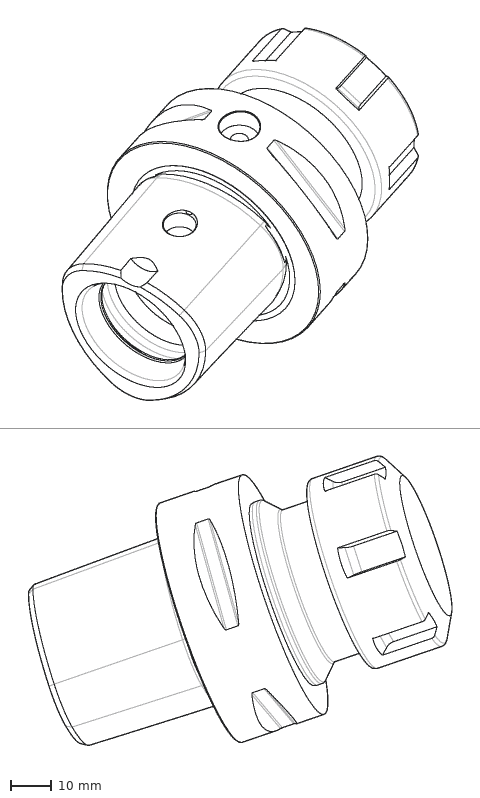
import cadquery as cq
import math


FLANGE_RADIUS = 31.51
FLANGE_LENGTH = 22.1
FLANGE_CHAMFER = 0.3

COLLAR_RADIUS = 24.1
COLLAR_ROOT_RADIUS = 23.9
COLLAR_ROOT_LENGTH = 0.9
COLLAR_SHOULDER = 24.5
NECK_RADIUS = 20.0
CONE_FILLET = 0.9

NUT_RADIUS = 25.0
NUT_BACK = 37.4
NUT_FRONT = 60.1
NUT_FACE_RADIUS = 18.4
NUT_CONE_ANGLE = 30
NUT_FRONT_FILLET = 1.1
NUT_BACK_FILLET = 1.2
SOCKET_DEPTH = 11.8

SLOT_COUNT = 6
SLOT_FLOOR_RADIUS = 22.2
SLOT_FLOOR_WIDTH = 6.8
SLOT_MOUTH_WIDTH = 7.9
SLOT_FLOOR_END = 46.2
SLOT_RAMP_START = 44.1
SLOT_RAMP_RISE = 0.9
SLOT_MOUTH_END = 42.2

SHANK_END = -37.9
SHANK_START = -2.1
LOBE_CENTER = 9.9
LOBE_RADIUS = 13.475
SHANK_TAPER = 1.43
SHANK_CHAMFER_LENGTH = 1.6
SHANK_CHAMFER_ANGLE = 31
SHANK_RELIEF = 0.4

FACE_GROOVE_INNER = 22.6
FACE_GROOVE_OUTER = 24.2
FACE_GROOVE_CENTER = -0.5

BORE_MOUTH_RADIUS = 16.3
BORE_ENTRY_RADIUS = 15.3
BORE_ENTRY_DEPTH = 1.5
BORE_CONE_RADIUS = 13.7
BORE_CONE_DEPTH = 6.8
BORE_LIP_RADIUS = 13.4
BORE_LIP_START = 7.2
BORE_LIP_END = 7.6
BORE_GROOVE_RADIUS = 15.9
BORE_GROOVE_START = 9.3
BORE_GROOVE_END = 11.3
BORE_SHOULDER_RADIUS = 15.3
BORE_SHOULDER_START = 13.0
BORE_SHOULDER_END = 14.3
BORE_RADIUS = 13.9
BORE_DEPTH = 19.9
PILOT_RADIUS = 10.2
PILOT_FLOOR_RADIUS = 8.87
PILOT_LENGTH = 5.9

GRIP_COUNT = 4
GRIP_FLOOR_DISTANCE = 27.8
GRIP_FLOOR_WIDTH = 3.6
GRIP_WALL_ANGLE = 30
GRIP_CENTER = 12.1
GRIP_FILLET = 0.5

DATA_HOLE_RADIUS = 5.1
DATA_HOLE_FLOOR = 26.5
CENTER_MARK_RADIUS = 2.3
SHANK_HOLE_CENTER = -15.4
SHANK_HOLE_RADIUS = 4.07
SHANK_HOLE_MOUTH = 20.2
SHANK_HOLE_DEPTH = 5.2
DRILL_POINT_ANGLE = 59
SHANK_HOLE_CHAMFER = 0.3
DATA_HOLE_CHAMFER = 0.2

KEYWAY_RADIUS = 5.6
KEYWAY_FLOOR = 18.0
KEYWAY_SHOULDER = -31.7

Y_AXIS = ((0, 0, 0), (0, 1, 0))


def revolve_y(profile):
    """Turn a closed profile, drawn as (radius, Y), about the tool axis."""
    return profile.close().revolve(360, *Y_AXIS)


def around_y(cutter, count, first_angle):
    """Return evenly spaced copies of a cutter around the tool axis."""
    angles = [first_angle + i * 360 / count for i in range(count)]
    return [cutter.rotate(*Y_AXIS, angle) for angle in angles]


def make_turned_body():
    collar_start = FLANGE_LENGTH + COLLAR_ROOT_LENGTH
    neck_start = COLLAR_SHOULDER + COLLAR_RADIUS - NECK_RADIUS
    profile = (
        cq.Workplane("XY")
        .polyline([
            (0, 0),
            (FLANGE_RADIUS - FLANGE_CHAMFER, 0),
            (FLANGE_RADIUS, FLANGE_CHAMFER),
            (FLANGE_RADIUS, FLANGE_LENGTH),
            (COLLAR_ROOT_RADIUS, FLANGE_LENGTH),
            (COLLAR_RADIUS, collar_start),
            (COLLAR_RADIUS, COLLAR_SHOULDER),
            (NECK_RADIUS, neck_start),
            (NECK_RADIUS, NUT_BACK + SOCKET_DEPTH),
            (0, NUT_BACK + SOCKET_DEPTH),
        ])
    )
    body = revolve_y(profile)
    cone_edges = cq.selectors.BoxSelector(
        (-FLANGE_RADIUS, COLLAR_SHOULDER - 0.1, -FLANGE_RADIUS),
        (FLANGE_RADIUS, neck_start + 0.1, FLANGE_RADIUS),
        boundingbox=True,
    )
    return body.edges(cone_edges).edges("%CIRCLE").fillet(CONE_FILLET)


def polygon_outline(y, lobe_radius):
    """Rounded triangle in the plane at y: three lobe arcs joined by three flank arcs.

    Each flank arc is centred on the lobe opposite to it, which makes all joints tangent.
    """
    flank_radius = lobe_radius + LOBE_CENTER * math.sqrt(3)
    lobe_tip = LOBE_CENTER + lobe_radius
    flank_middle = flank_radius - LOBE_CENTER

    def joint(lobe_angle, side):
        normal = math.radians(lobe_angle + side * 30)
        lobe = math.radians(lobe_angle)
        return (
            LOBE_CENTER * math.cos(lobe) + lobe_radius * math.cos(normal),
            LOBE_CENTER * math.sin(lobe) + lobe_radius * math.sin(normal),
        )

    def polar(radius, angle):
        return (radius * math.cos(math.radians(angle)), radius * math.sin(math.radians(angle)))

    first_lobe = -90
    outline = cq.Workplane("XZ", origin=(0, y, 0)).moveTo(*joint(first_lobe, -1))
    for lobe_angle in (first_lobe, first_lobe + 120, first_lobe + 240):
        outline = outline.threePointArc(polar(lobe_tip, lobe_angle), joint(lobe_angle, 1))
        flank_point = polar(flank_middle, lobe_angle + 60)
        outline = outline.threePointArc(flank_point, joint(lobe_angle + 120, -1))
    return outline.close()


def make_shank():
    relief_length = -SHANK_START
    relief_angle = math.degrees(math.atan(SHANK_RELIEF / relief_length))
    relief = polygon_outline(0, LOBE_RADIUS - SHANK_RELIEF).extrude(relief_length, taper=-relief_angle)

    chamfer_start = SHANK_END + SHANK_CHAMFER_LENGTH
    taper_length = SHANK_START - chamfer_start
    taper = polygon_outline(SHANK_START, LOBE_RADIUS).extrude(taper_length, taper=SHANK_TAPER)

    small_radius = LOBE_RADIUS - taper_length * math.tan(math.radians(SHANK_TAPER))
    end_chamfer = polygon_outline(chamfer_start, small_radius).extrude(
        SHANK_CHAMFER_LENGTH, taper=SHANK_CHAMFER_ANGLE
    )
    return relief.union(taper).union(end_chamfer)


def make_face_groove():
    middle = (FACE_GROOVE_INNER + FACE_GROOVE_OUTER) / 2
    section_radius = math.hypot(FACE_GROOVE_OUTER - middle, FACE_GROOVE_CENTER)
    section = cq.Workplane("XY", origin=(middle, FACE_GROOVE_CENTER, 0)).circle(section_radius)
    return section.revolve(360, (-middle, 0, 0), (-middle, 1, 0))


def make_bore():
    pilot_end = BORE_DEPTH + PILOT_LENGTH
    profile = (
        cq.Workplane("XY", origin=(0, SHANK_END, 0))
        .lineTo(BORE_MOUTH_RADIUS, 0)
        .lineTo(BORE_ENTRY_RADIUS, BORE_ENTRY_DEPTH)
        .lineTo(BORE_CONE_RADIUS, BORE_CONE_DEPTH)
        .lineTo(BORE_LIP_RADIUS, BORE_LIP_START)
        .lineTo(BORE_LIP_RADIUS, BORE_LIP_END)
        .lineTo(BORE_GROOVE_RADIUS, BORE_GROOVE_START)
        .lineTo(BORE_GROOVE_RADIUS, BORE_GROOVE_END)
        .tangentArcPoint((BORE_SHOULDER_RADIUS, BORE_SHOULDER_START), relative=False)
        .lineTo(BORE_RADIUS, BORE_SHOULDER_END)
        .lineTo(BORE_RADIUS, BORE_DEPTH)
        .lineTo(PILOT_RADIUS, BORE_DEPTH)
        .lineTo(PILOT_FLOOR_RADIUS, pilot_end)
        .lineTo(0, pilot_end)
    )
    return profile.close().revolve(360, (0, 0, 0), (0, 1, 0))


def make_grip_grooves():
    half_floor = GRIP_FLOOR_WIDTH / 2
    depth = FLANGE_RADIUS - GRIP_FLOOR_DISTANCE
    half_mouth = half_floor + depth * math.tan(math.radians(GRIP_WALL_ANGLE))
    cutter = (
        cq.Workplane("XY")
        .polyline([
            (GRIP_FLOOR_DISTANCE, GRIP_CENTER - half_floor),
            (FLANGE_RADIUS, GRIP_CENTER - half_mouth),
            (FLANGE_RADIUS, GRIP_CENTER + half_mouth),
            (GRIP_FLOOR_DISTANCE, GRIP_CENTER + half_floor),
        ])
        .close()
        .extrude(FLANGE_RADIUS, both=True)
        .faces("<X")
        .edges("|Z")
        .fillet(GRIP_FILLET)
    )
    return around_y(cutter, GRIP_COUNT, 180 / GRIP_COUNT)


def make_radial_hole(y, profile):
    """Turn a closed (radius, Z) profile about the vertical line at the given y."""
    return (
        cq.Workplane("XZ", origin=(0, y, 0))
        .polyline(profile)
        .close()
        .revolve(360, (0, 0, 0), (0, 1, 0))
    )


def make_data_hole():
    point_depth = CENTER_MARK_RADIUS / math.tan(math.radians(DRILL_POINT_ANGLE))
    return make_radial_hole(GRIP_CENTER, [
        (0, DATA_HOLE_FLOOR - point_depth),
        (CENTER_MARK_RADIUS, DATA_HOLE_FLOOR),
        (DATA_HOLE_RADIUS, DATA_HOLE_FLOOR),
        (DATA_HOLE_RADIUS, FLANGE_RADIUS),
        (0, FLANGE_RADIUS),
    ])


def data_hole_rim():
    """Select the saddle-shaped edge where the hole meets the flange."""
    reach = DATA_HOLE_RADIUS + 0.1
    return cq.selectors.BoxSelector(
        (-reach, GRIP_CENTER - reach, DATA_HOLE_FLOOR + 1),
        (reach, GRIP_CENTER + reach, FLANGE_RADIUS + 1),
        boundingbox=True,
    )


def make_shank_hole():
    floor = SHANK_HOLE_MOUTH - SHANK_HOLE_DEPTH
    point_depth = SHANK_HOLE_RADIUS / math.tan(math.radians(DRILL_POINT_ANGLE))
    chamfer_start = SHANK_HOLE_MOUTH - SHANK_HOLE_CHAMFER
    flare = 2 * SHANK_HOLE_CHAMFER
    return make_radial_hole(SHANK_HOLE_CENTER, [
        (0, floor - point_depth),
        (SHANK_HOLE_RADIUS, floor),
        (SHANK_HOLE_RADIUS, chamfer_start),
        (SHANK_HOLE_RADIUS + flare, chamfer_start + flare),
        (0, chamfer_start + flare),
    ])


def make_keyway():
    """Round keyway along Y that ends in a 45 degree cone."""
    cutter = revolve_y(
        cq.Workplane("XY").polyline([
            (0, SHANK_END),
            (KEYWAY_RADIUS, SHANK_END),
            (KEYWAY_RADIUS, KEYWAY_SHOULDER),
            (0, KEYWAY_SHOULDER + KEYWAY_RADIUS),
        ])
    )
    return cutter.translate((0, 0, KEYWAY_FLOOR + KEYWAY_RADIUS))


def make_holder():
    holder = make_turned_body().union(make_shank())
    holder = holder.cut(make_data_hole())
    holder = holder.edges(data_hole_rim()).chamfer(DATA_HOLE_CHAMFER)
    cutters = [make_face_groove(), make_bore(), make_shank_hole(), make_keyway()]
    for cutter in cutters + make_grip_grooves():
        holder = holder.cut(cutter)
    return holder


def make_nut_slots():
    """Slots whose side walls lean outwards, open at the front of the nut."""
    half_floor = SLOT_FLOOR_WIDTH / 2
    half_mouth = SLOT_MOUTH_WIDTH / 2
    mouth_radius = math.sqrt(NUT_RADIUS**2 - half_mouth**2)
    rise = NUT_RADIUS - SLOT_FLOOR_RADIUS
    flare = (half_mouth - half_floor) * rise / (mouth_radius - SLOT_FLOOR_RADIUS)

    cross_section = (
        cq.Workplane("XZ", origin=(0, NUT_FRONT, 0))
        .polyline([
            (SLOT_FLOOR_RADIUS, -half_floor),
            (NUT_RADIUS, -half_floor - flare),
            (NUT_RADIUS, half_floor + flare),
            (SLOT_FLOOR_RADIUS, half_floor),
        ])
        .close()
        .extrude(NUT_FRONT - NUT_BACK)
    )

    ramp_angle = 2 * math.atan(SLOT_RAMP_RISE / (SLOT_FLOOR_END - SLOT_RAMP_START))
    ramp_radius = SLOT_RAMP_RISE / (1 - math.cos(ramp_angle))
    ramp_middle = (
        SLOT_FLOOR_RADIUS + ramp_radius * (1 - math.cos(ramp_angle / 2)),
        SLOT_FLOOR_END - ramp_radius * math.sin(ramp_angle / 2),
    )
    length_section = (
        cq.Workplane("XY")
        .moveTo(SLOT_FLOOR_RADIUS, NUT_FRONT)
        .lineTo(SLOT_FLOOR_RADIUS, SLOT_FLOOR_END)
        .threePointArc(ramp_middle, (SLOT_FLOOR_RADIUS + SLOT_RAMP_RISE, SLOT_RAMP_START))
        .lineTo(NUT_RADIUS, SLOT_MOUTH_END)
        .lineTo(NUT_RADIUS, NUT_FRONT)
        .close()
        .extrude(SLOT_MOUTH_WIDTH, both=True)
    )
    return around_y(cross_section.intersect(length_section), SLOT_COUNT, 0)


def make_nut():
    cone_length = (NUT_RADIUS - NUT_FACE_RADIUS) * math.tan(math.radians(NUT_CONE_ANGLE))
    cone_start = NUT_FRONT - cone_length
    nut = revolve_y(
        cq.Workplane("XY").polyline([
            (0, NUT_BACK),
            (NUT_RADIUS, NUT_BACK),
            (NUT_RADIUS, cone_start),
            (NUT_FACE_RADIUS, NUT_FRONT),
            (0, NUT_FRONT),
        ])
    )
    nut = nut.edges("<Y").fillet(NUT_BACK_FILLET)
    cone_edge = cq.selectors.BoxSelector(
        (-NUT_RADIUS - 1, cone_start - 0.1, -NUT_RADIUS - 1),
        (NUT_RADIUS + 1, cone_start + 0.1, NUT_RADIUS + 1),
        boundingbox=True,
    )
    nut = nut.edges(cone_edge).fillet(NUT_FRONT_FILLET)
    for slot in make_nut_slots():
        nut = nut.cut(slot)

    socket_floor = cq.Workplane("XZ", origin=(0, NUT_BACK + SOCKET_DEPTH, 0))
    socket = socket_floor.circle(NECK_RADIUS).extrude(SOCKET_DEPTH)
    return nut.cut(socket)


holder = make_holder()
nut = make_nut()
result = cq.Compound.makeCompound([holder.val(), nut.val()])